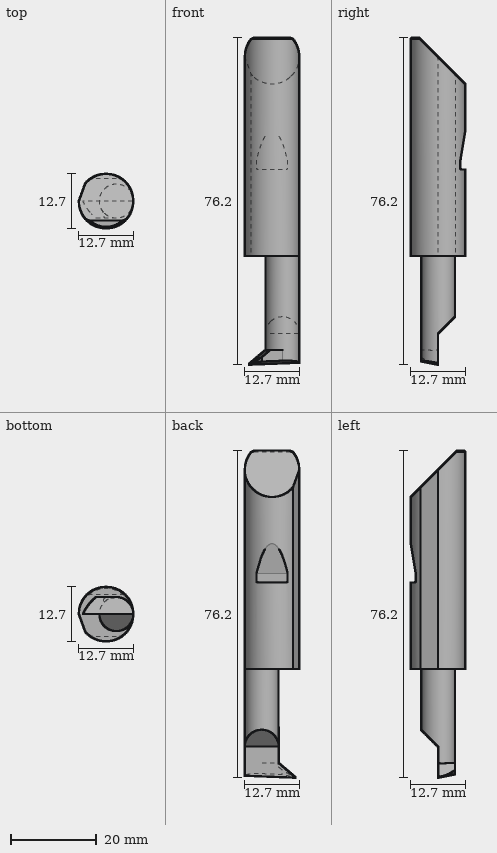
import cadquery as cq
import math

LENGTH = 76.2
SHANK_DIAMETER = 12.7
SHANK_RADIUS = SHANK_DIAMETER / 2
NECK_LENGTH = 25.3
RIM_CHAMFER = 0.4

FLAT_ARC_DEGREES = 40.0

TOP_EDGE_Y = -4.5

NOTCH_DEPTH = 1.15
NOTCH_BOTTOM_Z = 45.5
NOTCH_FLOOR_HEIGHT = 2.05
NOTCH_TOP_Z = 54.5
NOTCH_CORNER_RADIUS = 0.2

NECK_RADIUS = 4.0
NECK_X = SHANK_RADIUS - NECK_RADIUS
RAKE_RUNOUT_Z = 7.25

TIP_X = -5.4
HEAD_HEIGHT = 3.5
HEAD_FRONT_X = -2.4
RELIEF_RADIUS = 11.4
FLANK_TOP_X = -1.5
FLANK_SLOPE = 0.85
FLANK_RELIEF = 1.15
END_RISE_X = 0.04
END_RISE_Y = 0.17

CUTTER_SIZE = 4 * LENGTH


def half_space(origin, normal):
    """Large block filling the side of a plane that the normal points to."""
    plane = cq.Plane(origin=origin, normal=normal)
    return cq.Workplane(plane).rect(CUTTER_SIZE, CUTTER_SIZE).extrude(CUTTER_SIZE)


def make_shank():
    shank = (
        cq.Workplane("XY")
        .workplane(offset=NECK_LENGTH)
        .circle(SHANK_RADIUS)
        .extrude(LENGTH - NECK_LENGTH)
        .faces(">Z")
        .chamfer(RIM_CHAMFER)
    )
    top_slant = half_space((0, TOP_EDGE_Y, LENGTH), (0, 1, 1))

    half_arc = math.radians(FLAT_ARC_DEGREES / 2)
    flat_normal = (-math.cos(half_arc), math.sin(half_arc), 0)
    flat = half_space((-SHANK_RADIUS, 0, 0), flat_normal)
    return shank.cut(top_slant).cut(flat).cut(make_notch())


def make_notch():
    floor_y = SHANK_RADIUS - NOTCH_DEPTH
    return (
        cq.Workplane("YZ")
        .moveTo(SHANK_RADIUS, NOTCH_BOTTOM_Z)
        .lineTo(floor_y + NOTCH_CORNER_RADIUS, NOTCH_BOTTOM_Z)
        .radiusArc((floor_y, NOTCH_BOTTOM_Z + NOTCH_CORNER_RADIUS), NOTCH_CORNER_RADIUS)
        .lineTo(floor_y, NOTCH_BOTTOM_Z + NOTCH_FLOOR_HEIGHT)
        .lineTo(SHANK_RADIUS, NOTCH_TOP_Z)
        .close()
        .extrude(SHANK_RADIUS, both=True)
    )


def make_neck():
    neck = cq.Workplane("XY").center(NECK_X, 0).circle(NECK_RADIUS).extrude(NECK_LENGTH)
    rake_cut = (
        cq.Workplane("YZ", origin=(NECK_X, 0, 0))
        .polyline([
            (0, 0),
            (NECK_RADIUS, 0),
            (NECK_RADIUS, RAKE_RUNOUT_Z + NECK_RADIUS),
            (0, RAKE_RUNOUT_Z),
        ])
        .close()
        .extrude(NECK_RADIUS, both=True)
    )
    return neck.cut(rake_cut)


def make_head():
    head = (
        cq.Workplane("XY")
        .moveTo(TIP_X, 0)
        .radiusArc((HEAD_FRONT_X, -NECK_RADIUS), -RELIEF_RADIUS)
        .lineTo(NECK_X, -NECK_RADIUS)
        .lineTo(NECK_X, 0)
        .close()
        .extrude(HEAD_HEIGHT)
    )
    flank_tilt = -FLANK_SLOPE * FLANK_RELIEF / NECK_RADIUS
    flank = half_space((FLANK_TOP_X, 0, HEAD_HEIGHT), (-FLANK_SLOPE, flank_tilt, 1))
    return head.cut(flank)


end_face = half_space((TIP_X, 0, 0), (END_RISE_X, -END_RISE_Y, -1))
result = make_shank().union(make_neck()).union(make_head()).cut(end_face)